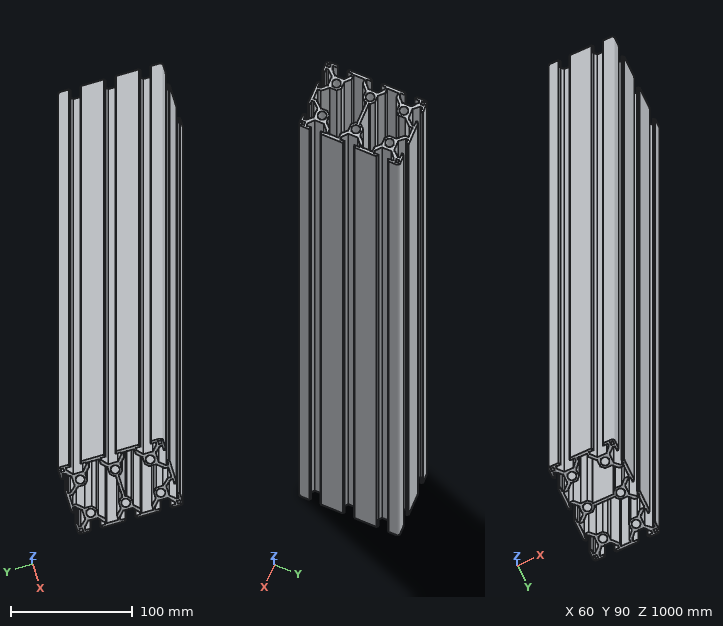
import cadquery as cq
import math

module = 30.0
columns = 2
rows = 3
length = 1000.0
width = columns * module
depth = rows * module
corner_radius = 2.5

recess_width = 10.6
recess_depth = 0.9
slot_opening = 8.5
lip_round = 0.2
lip_depth = 2.1
slot_inner_width = 17.0
slot_shoulder_depth = 4.0
slot_floor_width = 8.3
slot_depth = 9.0

bore_diameter = 7.3

duct_side = 2.6
duct_inset = 3.1

outer_wall = 2.7
web = 2.5
slot_wall = 1.6
core_half = 5.4
core_chamfer = 3.0
core_flat_half = 3.5
side_neck_depth = 6.8
end_pocket_half = 4.3
end_neck_depth = 5.7

core_x = module / 2
core_rows = (-module, 0.0, module)


def mirrored(half_outline):
    """Complete a half outline by repeating it, reversed, on the other side of the Y axis."""
    return half_outline + [(-x, y) for x, y in reversed(half_outline)]


def slot_cutter():
    """T-slot prism, open at the origin and sinking along +Y, with a shallow recess at its mouth."""
    opening = slot_opening / 2
    round_centre_x = opening + lip_round
    round_centre_y = recess_depth + lip_round
    round_offset = lip_round * math.sqrt(0.5)
    round_middle_y = round_centre_y - round_offset
    throat = [
        (opening, lip_depth),
        (slot_inner_width / 2, lip_depth),
        (slot_inner_width / 2, slot_shoulder_depth),
        (slot_floor_width / 2, slot_depth),
    ]
    outline = (
        cq.Workplane("XY")
        .moveTo(-recess_width / 2, 0)
        .lineTo(recess_width / 2, 0)
        .lineTo(recess_width / 2, recess_depth)
        .lineTo(round_centre_x, recess_depth)
        .threePointArc((round_centre_x - round_offset, round_middle_y), (opening, round_centre_y))
    )
    for x, y in mirrored(throat):
        outline = outline.lineTo(x, y)
    return (
        outline.lineTo(-opening, round_centre_y)
        .threePointArc((round_offset - round_centre_x, round_middle_y), (-round_centre_x, recess_depth))
        .lineTo(-recess_width / 2, recess_depth)
        .close()
        .extrude(length)
    )


def chamber_cutter():
    """Chamber between the middle web and the +Y wall, reaching the side walls between the slots."""
    core_inner_x = core_x - core_half
    core_chamfer_x = core_inner_x + core_chamfer
    core_outer_x = core_x + core_flat_half
    neck_x = width / 2 - side_neck_depth
    pocket_x = width / 2 - outer_wall
    pocket_y = slot_inner_width / 2 + slot_wall
    half_outline = [
        (core_inner_x, web / 2),
        (core_inner_x, core_half - core_chamfer),
        (core_chamfer_x, core_half),
        (core_outer_x, core_half),
        (neck_x, pocket_y),
        (pocket_x, pocket_y),
        (pocket_x, module - pocket_y),
        (neck_x, module - pocket_y),
        (core_outer_x, module - core_half),
        (core_chamfer_x, module - core_half),
        (core_inner_x, module - core_half + core_chamfer),
        (core_inner_x, module + core_flat_half),
        (end_pocket_half, depth / 2 - end_neck_depth),
        (end_pocket_half, depth / 2 - outer_wall),
    ]
    return cq.Workplane("XY").polyline(mirrored(half_outline)).close().extrude(length)


result = cq.Workplane("XY").rect(width, depth).extrude(length).edges("|Z").fillet(corner_radius)

slot_places = []
for x in (-core_x, core_x):
    slot_places += [(0, x, -depth / 2), (180, x, depth / 2)]
for y in core_rows:
    slot_places += [(-90, -width / 2, y), (90, width / 2, y)]

slot = slot_cutter()
for angle, x, y in slot_places:
    result = result.cut(slot.rotate((0, 0, 0), (0, 0, 1), angle).translate((x, y, 0)))

chamber = chamber_cutter()
result = result.cut(chamber).cut(chamber.mirror("XZ"))

bore_centres = [(x, y) for x in (-core_x, core_x) for y in core_rows]
result = result.cut(cq.Workplane("XY").pushPoints(bore_centres).circle(bore_diameter / 2).extrude(length))

duct_x = width / 2 - duct_inset
duct_y = depth / 2 - duct_inset
duct_centres = [(x, y) for x in (-duct_x, duct_x) for y in (-duct_y, duct_y)]
result = result.cut(cq.Workplane("XY").pushPoints(duct_centres).rect(duct_side, duct_side).extrude(length))